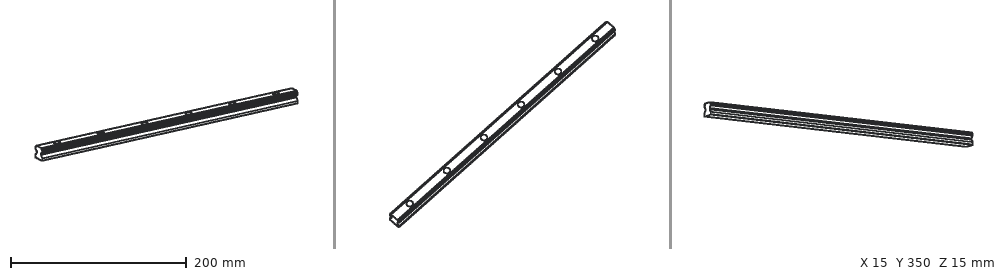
import cadquery as cq
import math

rail_width = 15.0
rail_height = 15.0
rail_length = 350.0

half_width = rail_width / 2
top_half_width = 5.08
top_chamfer = 0.22
neck_half_width = 4.5

base_chamfer = 0.6
foot_side_top = 3.25
neck_bottom = 6.5
neck_top = 8.2

nose_bottom = 11.3
nose_top = 12.5

upper_groove_start = (top_half_width + top_chamfer, rail_height - top_chamfer)
upper_groove_end = (6.45, 13.45)
upper_groove_depth = 0.22
upper_land_end = (6.6, 12.6)
lower_groove_start = (7.1, 10.7)
lower_groove_end = (5.2, 9.0)
lower_groove_depth = 0.28

screw_pitch = 60.0
screw_count = 6
cap_diameter = 7.5
cap_recess_depth = 0.3


def groove_bottom(start, end, depth):
    """Deepest point of a groove running down the right flank from start to end."""
    run = end[0] - start[0]
    rise = end[1] - start[1]
    chord = math.hypot(run, rise)
    middle_x = (start[0] + end[0]) / 2
    middle_z = (start[1] + end[1]) / 2
    return (middle_x + depth * rise / chord, middle_z - depth * run / chord)


def rail_body():
    """Right half of the cross-section extruded along Y and mirrored about the YZ plane."""
    upper_bottom = groove_bottom(upper_groove_start, upper_groove_end, upper_groove_depth)
    lower_bottom = groove_bottom(lower_groove_start, lower_groove_end, lower_groove_depth)
    half_section = (
        cq.Workplane("XZ")
        .moveTo(0, rail_height)
        .lineTo(top_half_width, rail_height)
        .lineTo(*upper_groove_start)
        .threePointArc(upper_bottom, upper_groove_end)
        .lineTo(*upper_land_end)
        .lineTo(half_width, nose_top)
        .lineTo(half_width, nose_bottom)
        .lineTo(*lower_groove_start)
        .threePointArc(lower_bottom, lower_groove_end)
        .lineTo(neck_half_width, neck_top)
        .lineTo(neck_half_width, neck_bottom)
        .lineTo(half_width, foot_side_top)
        .lineTo(half_width, base_chamfer)
        .lineTo(half_width - base_chamfer, 0)
        .lineTo(0, 0)
        .close()
    )
    half_rail = half_section.extrude(rail_length / 2, both=True)
    return half_rail.union(half_rail.mirror("YZ")).clean()


def cap_recesses():
    """Shallow round recesses over the screw positions, centred along the rail."""
    return (
        cq.Workplane("XY", origin=(0, 0, rail_height))
        .rarray(1, screw_pitch, 1, screw_count)
        .circle(cap_diameter / 2)
        .extrude(-cap_recess_depth)
    )


result = rail_body().cut(cap_recesses())